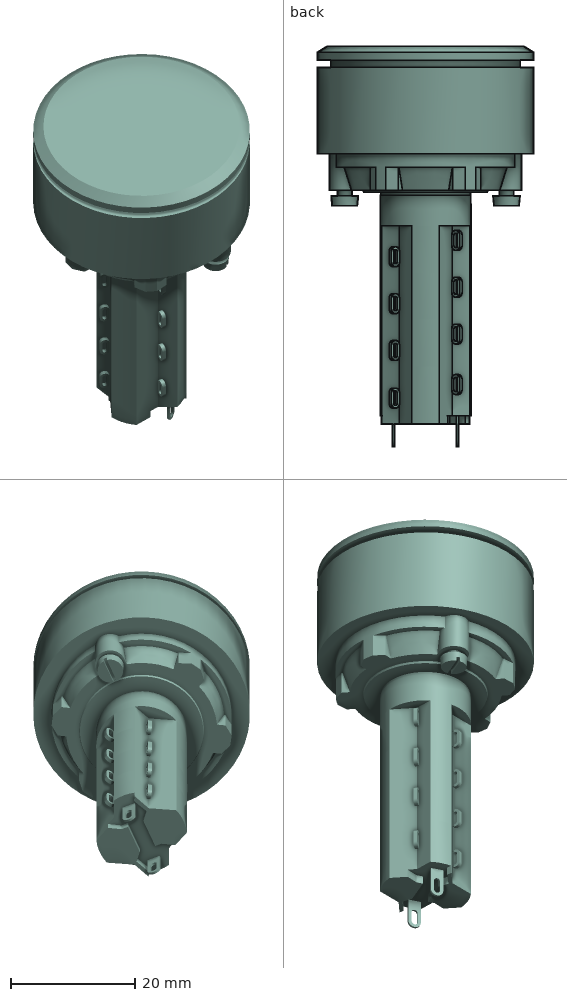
import cadquery as cq
import math


TOP_Z = 64.4
CAP_EDGE_Z = 63.35
CAP_BOTTOM_Z = 62.1
GROOVE_BOTTOM_Z = 60.95
HOUSING_BOTTOM_Z = 47.05
FLANGE_BOTTOM_Z = 44.9
LUG_BOTTOM_Z = 41.2
COLLAR_BOTTOM_Z = 40.9
NECK_BOTTOM_Z = 40.4
STEM_BOTTOM_Z = 35.5
RECESS_TOP_Z = 4.95
BLOCKS_BOTTOM_Z = 3.6

LENS_RADIUS = 23.95 / 2
HEAD_RADIUS = 34.8 / 2
CAP_TOP_RADIUS = 15.8
GROOVE_RADIUS = 15.25
FLANGE_RADIUS = 14.5
CONE_TOP_RADIUS = 13.3
CONE_BOTTOM_RADIUS = 12.15
COLLAR_TOP_RADIUS = 10.05
COLLAR_BOTTOM_RADIUS = 19.8 / 2
NECK_RADIUS = 14.5 / 2
STEM_RADIUS = 14.6 / 2

LUG_ANGLES = (60, 120, 240, 300)
LUG_TIP_HALF_WIDTH = 0.9
LUG_HALF_WIDTH = 2.6
LUG_SHOULDER_REACH = 13.25
LUG_ROOT_REACH = 9.65

SCREW_OFFSET = 13.0
POST_RADIUS = 2.45
POST_ROOT_REACH = 8.4
SCREW_NECK_RADIUS = 2.4 / 2
SCREW_HEAD_TOP_Z = 40.3
SCREW_HEAD_BOTTOM_Z = 38.7
SCREW_HEAD_TOP_RADIUS = 2.2
SCREW_HEAD_BOTTOM_RADIUS = 2.05
SCREW_SLOT_WIDTH = 0.6
SCREW_SLOT_DEPTH = 0.7

BLOCK_COUNT = 4
BLOCK_PITCH = 7.5
SIDE_LOBE_HALF_WIDTH = 1.8
FRONT_LOBE_HALF_WIDTH = 2.2
VALLEY_X = 4.25
VALLEY_Y = 3.0

TAB_WIDTH = 1.6
TAB_HEIGHT = 3.2
TAB_THICKNESS = 0.65
TAB_RIM = 0.45
TAB_ANGLE = 35.0
TAB_CENTER_X = 5.0
TAB_CENTER_Y = 3.4
HIGH_TAB_DROP = 2.3
LOW_TAB_DROP = 4.95
LAST_HIGH_TAB_DROP = 2.9
LAST_LOW_TAB_DROP = 5.1

TERMINAL_X = 5.15
TERMINAL_WIDTH = 2.1
TERMINAL_THICKNESS = 0.4
TERMINAL_HOLE_WIDTH = 1.0
TERMINAL_HOLE_TOP_Z = 3.2
TERMINAL_HOLE_BOTTOM_Z = 0.5
CHANNEL_HALF_WIDTH = 1.35
POCKET_INNER_X = 2.45
POCKET_INNER_Y = 2.45
POCKET_CORNER_X = 3.6
POCKET_CORNER_Y = 4.5
POCKET_OUTER_X = 7.6
POCKET_DIP_X = 3.85
POCKET_DIP_Y = 2.5
POCKET_RIDGE_X = 6.4
POCKET_MOUTH_Y = 2.05


def make_lens():
    """Round lens, flush with the top of the cap and as thick as the cap."""
    base = cq.Workplane("XY").workplane(offset=CAP_BOTTOM_Z)
    return base.circle(LENS_RADIUS).extrude(TOP_Z - CAP_BOTTOM_Z)


def make_turned_parts():
    """Cap, groove, housing, flange, cone, collar and stem in one revolved profile, open for the lens."""
    profile = [
        (0, STEM_BOTTOM_Z),
        (STEM_RADIUS, STEM_BOTTOM_Z),
        (STEM_RADIUS, NECK_BOTTOM_Z),
        (NECK_RADIUS, NECK_BOTTOM_Z),
        (NECK_RADIUS, COLLAR_BOTTOM_Z),
        (COLLAR_BOTTOM_RADIUS, COLLAR_BOTTOM_Z),
        (COLLAR_TOP_RADIUS, LUG_BOTTOM_Z),
        (CONE_BOTTOM_RADIUS, LUG_BOTTOM_Z),
        (CONE_TOP_RADIUS, FLANGE_BOTTOM_Z),
        (FLANGE_RADIUS, FLANGE_BOTTOM_Z),
        (FLANGE_RADIUS, HOUSING_BOTTOM_Z),
        (HEAD_RADIUS, HOUSING_BOTTOM_Z),
        (HEAD_RADIUS, GROOVE_BOTTOM_Z),
        (GROOVE_RADIUS, GROOVE_BOTTOM_Z),
        (GROOVE_RADIUS, CAP_BOTTOM_Z),
        (HEAD_RADIUS, CAP_BOTTOM_Z),
        (HEAD_RADIUS, CAP_EDGE_Z),
        (CAP_TOP_RADIUS, TOP_Z),
        (LENS_RADIUS, TOP_Z),
        (LENS_RADIUS, CAP_BOTTOM_Z),
        (0, CAP_BOTTOM_Z),
    ]
    return cq.Workplane("XZ").polyline(profile).close().revolve(360, (0, 0), (0, 1))


def make_lugs():
    """Four lugs with tips flush with the flange, flared sides and parallel flanks."""
    height = HOUSING_BOTTOM_Z - LUG_BOTTOM_Z
    outline = [
        (LUG_ROOT_REACH, -LUG_HALF_WIDTH),
        (LUG_SHOULDER_REACH, -LUG_HALF_WIDTH),
        (FLANGE_RADIUS, -LUG_TIP_HALF_WIDTH),
        (FLANGE_RADIUS, LUG_TIP_HALF_WIDTH),
        (LUG_SHOULDER_REACH, LUG_HALF_WIDTH),
        (LUG_ROOT_REACH, LUG_HALF_WIDTH),
    ]
    base = cq.Workplane("XY").workplane(offset=LUG_BOTTOM_Z)
    blank = base.polyline(outline).close().extrude(height)
    lugs = cq.Workplane("XY")
    for angle in LUG_ANGLES:
        lugs = lugs.add(blank.rotate((0, 0, 0), (0, 0, 1), angle).val())
    flange_disc = base.circle(FLANGE_RADIUS).extrude(height)
    return flange_disc.intersect(lugs.combine())


def make_screw_post(side):
    """Round-nosed post on the -X (side = -1) or +X (side = 1) edge of the cone, with its screw."""
    center_x = side * SCREW_OFFSET
    root_length = SCREW_OFFSET - POST_ROOT_REACH
    post_height = HOUSING_BOTTOM_Z - LUG_BOTTOM_Z
    base = cq.Workplane("XY").workplane(offset=LUG_BOTTOM_Z)
    root_center_x = center_x - side * root_length / 2
    nose = base.center(center_x, 0).circle(POST_RADIUS).extrude(post_height)
    root = base.center(root_center_x, 0).rect(root_length, 2 * POST_RADIUS).extrude(post_height)
    neck = base.center(center_x, 0).circle(SCREW_NECK_RADIUS).extrude(SCREW_HEAD_TOP_Z - LUG_BOTTOM_Z)

    head_height = SCREW_HEAD_TOP_Z - SCREW_HEAD_BOTTOM_Z
    head = (
        cq.Workplane("XY").workplane(offset=SCREW_HEAD_BOTTOM_Z)
        .center(center_x, 0).circle(SCREW_HEAD_BOTTOM_RADIUS)
        .workplane(offset=head_height).circle(SCREW_HEAD_TOP_RADIUS)
        .loft()
    )
    slot = (
        cq.Workplane("XY").workplane(offset=SCREW_HEAD_BOTTOM_Z)
        .center(center_x, 0).rect(2 * SCREW_HEAD_TOP_RADIUS, SCREW_SLOT_WIDTH)
        .extrude(SCREW_SLOT_DEPTH)
    )
    return nose.union(root).union(neck).union(head.cut(slot))


def make_block(top_z, bottom_z):
    """One contact block: four round lobes with a V-shaped valley in each corner."""
    side_x = math.sqrt(STEM_RADIUS ** 2 - SIDE_LOBE_HALF_WIDTH ** 2)
    front_y = math.sqrt(STEM_RADIUS ** 2 - FRONT_LOBE_HALF_WIDTH ** 2)
    return (
        cq.Workplane("XY").workplane(offset=bottom_z)
        .moveTo(side_x, -SIDE_LOBE_HALF_WIDTH)
        .threePointArc((STEM_RADIUS, 0), (side_x, SIDE_LOBE_HALF_WIDTH))
        .lineTo(VALLEY_X, VALLEY_Y)
        .lineTo(FRONT_LOBE_HALF_WIDTH, front_y)
        .threePointArc((0, STEM_RADIUS), (-FRONT_LOBE_HALF_WIDTH, front_y))
        .lineTo(-VALLEY_X, VALLEY_Y)
        .lineTo(-side_x, SIDE_LOBE_HALF_WIDTH)
        .threePointArc((-STEM_RADIUS, 0), (-side_x, -SIDE_LOBE_HALF_WIDTH))
        .lineTo(-VALLEY_X, -VALLEY_Y)
        .lineTo(-FRONT_LOBE_HALF_WIDTH, -front_y)
        .threePointArc((0, -STEM_RADIUS), (FRONT_LOBE_HALF_WIDTH, -front_y))
        .lineTo(VALLEY_X, -VALLEY_Y)
        .close()
        .extrude(top_z - bottom_z)
    )


def make_tab(side_x, side_y, center_z):
    """Upright obround tab with an obround eye, standing in the valley at the given corner signs."""
    plate = (
        cq.Workplane("XZ").slot2D(TAB_HEIGHT, TAB_WIDTH, 90)
        .extrude(TAB_THICKNESS / 2, both=True)
    )
    eye = (
        cq.Workplane("XZ").slot2D(TAB_HEIGHT - 2 * TAB_RIM, TAB_WIDTH - 2 * TAB_RIM, 90)
        .extrude(TAB_THICKNESS, both=True)
    )
    return (
        plate.cut(eye)
        .rotate((0, 0, 0), (0, 0, 1), side_x * side_y * TAB_ANGLE)
        .translate((side_x * TAB_CENTER_X, side_y * TAB_CENTER_Y, center_z))
    )


def make_terminal(side):
    """Flat solder terminal with a round end and an obround eye."""
    end_radius = TERMINAL_WIDTH / 2
    eye_length = TERMINAL_HOLE_TOP_Z - TERMINAL_HOLE_BOTTOM_Z
    eye_center_z = (TERMINAL_HOLE_TOP_Z + TERMINAL_HOLE_BOTTOM_Z) / 2
    blade = (
        cq.Workplane("YZ")
        .moveTo(-end_radius, RECESS_TOP_Z)
        .lineTo(-end_radius, end_radius)
        .threePointArc((0, 0), (end_radius, end_radius))
        .lineTo(end_radius, RECESS_TOP_Z)
        .close()
        .extrude(TERMINAL_THICKNESS / 2, both=True)
    )
    eye = (
        cq.Workplane("YZ").center(0, eye_center_z)
        .slot2D(eye_length, TERMINAL_HOLE_WIDTH, 90)
        .extrude(TERMINAL_THICKNESS, both=True)
    )
    return blade.cut(eye).translate((side * TERMINAL_X, 0, 0))


def make_terminal_recess():
    """Channel through the foot of the lowest block, widened around each terminal."""
    depth = RECESS_TOP_Z - BLOCKS_BOTTOM_Z
    foot = cq.Workplane("XY").workplane(offset=BLOCKS_BOTTOM_Z)
    recess = foot.rect(2 * STEM_RADIUS, 2 * CHANNEL_HALF_WIDTH).extrude(depth)
    pocket_outline = [
        (-POCKET_INNER_X, -CHANNEL_HALF_WIDTH),
        (-POCKET_DIP_X, -POCKET_DIP_Y),
        (-POCKET_RIDGE_X, -CHANNEL_HALF_WIDTH),
        (-POCKET_OUTER_X, -POCKET_MOUTH_Y),
        (-POCKET_OUTER_X, POCKET_CORNER_Y),
        (-POCKET_CORNER_X, POCKET_CORNER_Y),
        (-POCKET_INNER_X, POCKET_INNER_Y),
    ]
    pocket = foot.polyline(pocket_outline).close().extrude(depth)
    for turn in (0, 180):
        recess = recess.union(pocket.rotate((0, 0, 0), (0, 0, 1), turn))
    return recess


def make_switch():
    """The whole switch except the lens."""
    switch = make_turned_parts().union(make_lugs())
    for side in (-1, 1):
        switch = switch.union(make_screw_post(side))

    for index in range(BLOCK_COUNT):
        is_last = index == BLOCK_COUNT - 1
        top_z = STEM_BOTTOM_Z - index * BLOCK_PITCH
        bottom_z = BLOCKS_BOTTOM_Z if is_last else top_z - BLOCK_PITCH
        high_z = top_z - (LAST_HIGH_TAB_DROP if is_last else HIGH_TAB_DROP)
        low_z = top_z - (LAST_LOW_TAB_DROP if is_last else LOW_TAB_DROP)
        block = make_block(top_z, bottom_z)
        if is_last:
            block = block.cut(make_terminal_recess())
        for side in (-1, 1):
            block = block.union(make_tab(side, side, low_z))
            block = block.union(make_tab(side, -side, high_z))
        switch = switch.union(block, clean=False)
    for side in (-1, 1):
        switch = switch.union(make_terminal(side), clean=False)
    return switch


lens = make_lens()
switch = make_switch()
result = cq.Compound.makeCompound([lens.val(), switch.solids().val()])